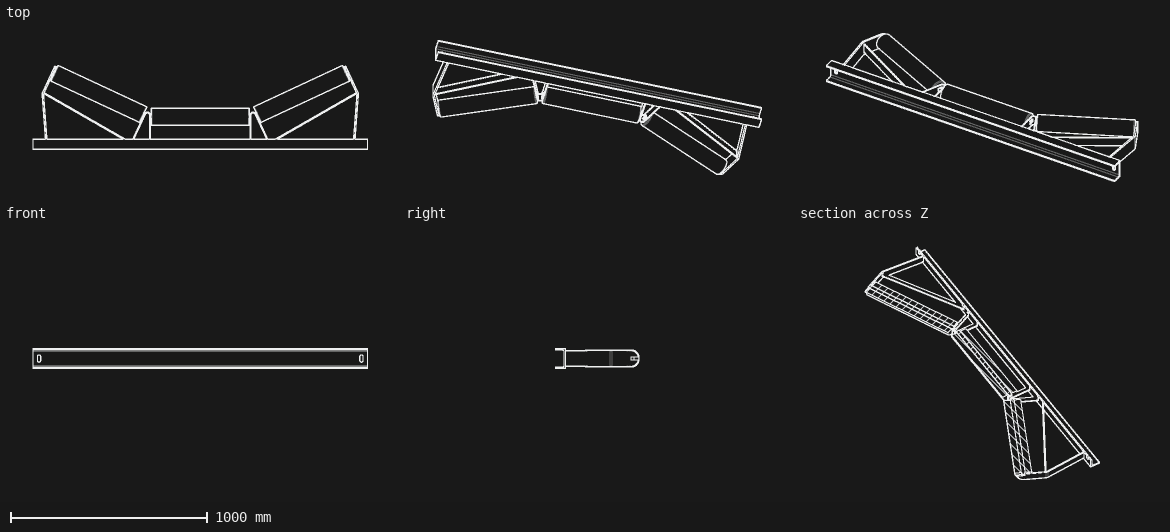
import cadquery as cq
import math


channel_length = 1700.0
channel_depth = 53.0
channel_width = 100.0
web_thickness = 8.0
flange_thickness = 7.0
channel_fillet = 8.0
mount_slot_width = 15.0
mount_slot_length = 35.0
mount_slot_inset = 30.0

roller_length = 500.0
roller_radius = 45.0
roller_edge_radius = 4.2
shaft_size = 17.0
slot_cut_length = 2 * roller_radius
inner_gap = 3.0
outer_gap = 4.2
level_axis_y = 167.0
trough_angle = 25.0
wing_inner_x = -289.0
wing_inner_y = 177.0

inner_width = 55.0
outer_width = 80.0
inner_thickness = 5.0
outer_thickness = 8.0
inner_bend_radius = 15.6
outer_bend_y = 284.0
outer_bend_radius = 19.0
outer_end_drop = 5.0
outer_foot_x = -787.0
brace_width = 50.0
brace_thickness = 6.0
brace_head_y = 289.0
brace_foot_x = -380.0

tilt = math.radians(trough_angle)
wing_out = cq.Vector(-math.cos(tilt), math.sin(tilt), 0)
wing_up = cq.Vector(math.sin(tilt), math.cos(tilt), 0)
x_axis = cq.Vector(1, 0, 0)
vertical = cq.Vector(0, 1, 0)
z_axis = cq.Vector(0, 0, 1)

wing_inner_end = cq.Vector(wing_inner_x, wing_inner_y, 0)
wing_outer_end = wing_inner_end + wing_out * roller_length
level_left_end = cq.Vector(-roller_length / 2, level_axis_y, 0)


def mirrored(body):
    """The same body on the other side of X = 0."""
    return body.mirror("YZ")


def point_at_y(point, direction, y):
    """The point of a line in the XY plane that lies at height y."""
    return point + direction * ((y - point.y) / direction.y)


def crossing(point_a, direction_a, point_b, direction_b):
    """The point where two lines in the XY plane cross."""
    determinant = direction_a.cross(direction_b).z
    return point_a + direction_a * ((point_b - point_a).cross(direction_b).z / determinant)


def plate(outline, width):
    """A prism on an XY outline, centred on Z = 0."""
    corners = [(corner.x, corner.y) for corner in outline]
    return cq.Workplane("XY").polyline(corners).close().extrude(width / 2, both=True)


def make_channel():
    """A channel open downward, with a mounting slot through its web near each end."""
    channel = cq.Workplane("XY").box(
        channel_length, channel_depth, channel_width, centered=(True, False, True)
    )
    cavity = cq.Workplane("XY").box(
        channel_length,
        channel_depth - web_thickness,
        channel_width - 2 * flange_thickness,
        centered=(True, False, True),
    )
    channel = channel.cut(cavity.edges("|X and >Y").fillet(channel_fillet))
    slot_x = channel_length / 2 - mount_slot_inset
    slots = (
        cq.Workplane("XZ")
        .pushPoints([(-slot_x, 0), (slot_x, 0)])
        .slot2D(mount_slot_length, mount_slot_width, 90)
        .extrude(-channel_depth)
    )
    return channel.cut(slots)


def shaft_slot(start, axis, up, depth):
    """The cutter for an open slot that holds a shaft, running up from under the shaft."""
    plane = cq.Plane(origin=start.toTuple(), xDir=up.cross(axis).toTuple(), normal=axis.toTuple())
    return (
        cq.Workplane(plane)
        .center(0, (slot_cut_length - shaft_size) / 2)
        .rect(shaft_size, slot_cut_length)
        .extrude(depth)
    )


def inner_wedge(gap, bend_radius):
    """A wedge standing on the channel, a gap away from the two rollers, with a rounded top."""
    level_face = level_left_end - cq.Vector(gap, 0, 0)
    wing_face = wing_inner_end - wing_out * gap
    peak = crossing(level_face, vertical, wing_face, wing_up)
    level_foot = point_at_y(level_face, vertical, channel_depth)
    wing_foot = point_at_y(wing_face, wing_up, channel_depth)
    wedge = plate([peak, level_foot, wing_foot], inner_width)
    return wedge.edges("|Z and >Y").fillet(bend_radius)


def make_inner_bracket():
    """A strip bent over an arc, with one leg at the level roller and one at the wing roller."""
    reach = inner_gap + inner_thickness
    bracket = inner_wedge(inner_gap, inner_bend_radius)
    bracket = bracket.cut(inner_wedge(reach, inner_bend_radius - inner_thickness))
    bracket = bracket.cut(shaft_slot(level_left_end, x_axis * -1, vertical, reach))
    return bracket.cut(shaft_slot(wing_inner_end, wing_out * -1, wing_up, reach))


inner_face = wing_outer_end + wing_out * outer_gap
outer_face = inner_face + wing_out * outer_thickness
outer_end = outer_face - wing_up * outer_end_drop
inner_end = inner_face - wing_up * outer_end_drop
outer_bend = point_at_y(outer_face, wing_up, outer_bend_y)
outer_foot = cq.Vector(outer_foot_x, channel_depth, 0)
leg_up = (outer_bend - outer_foot).normalized()
leg_inward = leg_up.cross(z_axis)
leg_inner_foot = point_at_y(outer_foot + leg_inward * outer_thickness, leg_up, channel_depth)
inner_bend = crossing(inner_face, wing_up, leg_inner_foot, leg_up)


def make_outer_bracket():
    """A leg bent along the wing roller's end, rounded about the roller's axis and slotted."""
    half_width = outer_width / 2
    bracket = plate(
        [outer_foot, outer_bend, outer_end, inner_end, inner_bend, leg_inner_foot], outer_width
    )
    outer_corner = cq.selectors.NearestToPointSelector(outer_bend.toTuple())
    bracket = bracket.edges(outer_corner).fillet(outer_bend_radius)
    inner_corner = cq.selectors.NearestToPointSelector(inner_bend.toTuple())
    bracket = bracket.edges(inner_corner).fillet(outer_bend_radius - outer_thickness)
    plane = cq.Plane(origin=inner_end.toTuple(), xDir=(0, 0, 1), normal=wing_out.toTuple())
    rounded_end = cq.Workplane(plane).circle(half_width).extrude(outer_thickness)
    slot = shaft_slot(wing_outer_end, wing_out, wing_up, outer_gap + outer_thickness)
    return bracket.union(rounded_end).cut(slot)


def make_brace():
    """A flat bar from the outer bracket down to the channel, its head set into the bracket."""
    head = point_at_y(inner_face, wing_up, brace_head_y)
    foot = cq.Vector(brace_foot_x, channel_depth, 0)
    run = (foot - head).normalized()
    buried_head = head - run * (outer_thickness / 2)
    drop = run.cross(z_axis) * brace_thickness
    lower_foot = point_at_y(foot + drop, run, channel_depth)
    return plate([buried_head, foot, lower_foot, buried_head + drop], brace_width)


def make_frame():
    """The channel with both sets of brackets and braces welded on."""
    frame = make_channel()
    for part in (make_inner_bracket(), make_outer_bracket(), make_brace()):
        frame = frame.union(part).union(mirrored(part))
    return frame


def make_roller(start, axis):
    """A roller with rounded end edges, bored for its shaft."""
    plane = cq.Plane(origin=start.toTuple(), xDir=(0, 0, 1), normal=axis.toTuple())
    drum = cq.Workplane(plane).circle(roller_radius).extrude(roller_length)
    drum = drum.edges().fillet(roller_edge_radius)
    bore = cq.Workplane(plane).rect(shaft_size, shaft_size).extrude(roller_length)
    return drum.cut(bore)


def make_shaft(start, axis, start_overhang, end_overhang):
    """A square shaft through a roller, ending flush with the plates that hold it."""
    length = start_overhang + roller_length + end_overhang
    origin = start - axis * start_overhang
    plane = cq.Plane(origin=origin.toTuple(), xDir=(0, 0, 1), normal=axis.toTuple())
    return cq.Workplane(plane).rect(shaft_size, shaft_size).extrude(length)


inner_overhang = inner_gap + inner_thickness
outer_overhang = outer_gap + outer_thickness

frame = make_frame()
level_roller = make_roller(level_left_end, x_axis)
level_shaft = make_shaft(level_left_end, x_axis, inner_overhang, inner_overhang)
left_roller = make_roller(wing_inner_end, wing_out)
left_shaft = make_shaft(wing_inner_end, wing_out, inner_overhang, outer_overhang)

bodies = [frame, level_roller, level_shaft]
for wing_part in (left_roller, left_shaft):
    bodies += [wing_part, mirrored(wing_part)]

result = cq.Compound.makeCompound([body.val() for body in bodies])